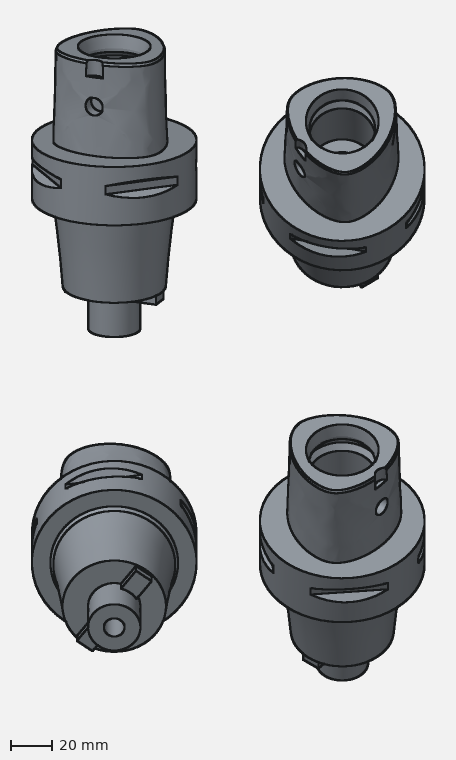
import cadquery as cq
import math

total_height = 145.0
flange_bottom_z = 67.0
flange_height = 30.0
flange_top_z = flange_bottom_z + flange_height

flange_radius = 40.0

neck_top_radius = 31.0
neck_height = 2.2
neck_bottom_z = flange_bottom_z - neck_height
body_top_radius = 29.6
body_bottom_radius = 25.1
body_bottom_z = 22.0
body_hollow = 0.35

spigot_radius = 25.4 / 2
key_width = 9.5
key_span = 48.0
key_height = 5.0

shank_base_radius = 27.7
lobe_count = 3
lobe_height = 2.0
taper_ratio = 1 / 40
shank_chamfer_height = 1.5
shank_chamfer_inset = 0.6
outline_points = 48

notch_radius = 5.2
notch_inner_reach = 22.0
notch_depth = 8.0
side_hole_radius = 4.5
side_hole_z = 122.1
side_hole_floor_y = -18.0

mouth_radius = 17.65
bore_radius = 16.0
mouth_depth = 6.7
lip_depth = 8.35
groove_radius = 18.9
groove_slope = groove_radius - bore_radius
groove_floor_depth = 13.5
bore_depth = total_height - flange_top_z
bolt_hole_radius = 9.0
bolt_hole_depth = bore_depth + flange_height
through_hole_radius = 5.0

gripper_count = 4
gripper_first_angle = 45.0
gripper_flat_distance = 35.3
gripper_flat_height = 4.2
gripper_mouth_height = 9.0
gripper_mid_z = 85.0


def shank_section(radius, z):
    """Closed constant-width outline with three lobes, one of them on +Y."""
    points = []
    for i in range(outline_points):
        normal = 2 * math.pi * i / outline_points
        phase = lobe_count * (normal - math.pi / 2)
        support = radius + lobe_height * math.cos(phase)
        slope = -lobe_count * lobe_height * math.sin(phase)
        points.append((
            support * math.cos(normal) - slope * math.sin(normal),
            support * math.sin(normal) + slope * math.cos(normal),
        ))
    return cq.Workplane("XY", origin=(0, 0, z)).spline(points, periodic=True).wire().val()


def make_shank():
    """Tapered shank with a chamfered end."""
    chamfer_z = total_height - shank_chamfer_height
    chamfer_radius = shank_base_radius - taper_ratio * (chamfer_z - flange_top_z)
    sections = [
        shank_section(shank_base_radius, flange_top_z),
        shank_section(chamfer_radius, chamfer_z),
        shank_section(chamfer_radius - shank_chamfer_inset, total_height),
    ]
    return cq.Workplane(obj=cq.Solid.makeLoft(sections, True))


def make_turned_body():
    """Flange, neck, hollow taper and spigot as one revolved profile."""
    middle_radius = (body_top_radius + body_bottom_radius) / 2 - body_hollow
    middle_z = (neck_bottom_z + body_bottom_z) / 2
    profile = (
        cq.Workplane("XZ")
        .moveTo(0, 0)
        .lineTo(spigot_radius, 0)
        .lineTo(spigot_radius, body_bottom_z)
        .lineTo(body_bottom_radius, body_bottom_z)
        .threePointArc((middle_radius, middle_z), (body_top_radius, neck_bottom_z))
        .lineTo(neck_top_radius, flange_bottom_z)
        .lineTo(flange_radius, flange_bottom_z)
        .lineTo(flange_radius, flange_top_z)
        .lineTo(0, flange_top_z)
        .close()
    )
    return profile.revolve(360, (0, 0), (0, 1))


def make_drive_keys():
    """One bar through the spigot, giving a key on its +X and -X sides."""
    return (
        cq.Workplane("XY", origin=(0, 0, body_bottom_z))
        .rect(key_span, key_width)
        .extrude(-key_height)
    )


def make_bore():
    """Conical mouth, undercut groove, bore, bolt hole and through hole."""
    profile_by_depth = [
        (0, 0),
        (mouth_radius, 0),
        (bore_radius, mouth_depth),
        (bore_radius, lip_depth),
        (groove_radius, lip_depth + groove_slope),
        (groove_radius, groove_floor_depth),
        (bore_radius, groove_floor_depth + groove_slope),
        (bore_radius, bore_depth),
        (bolt_hole_radius, bore_depth),
        (bolt_hole_radius, bolt_hole_depth),
        (through_hole_radius, bolt_hole_depth),
        (through_hole_radius, total_height),
        (0, total_height),
    ]
    points = [(radius, total_height - depth) for radius, depth in profile_by_depth]
    return cq.Workplane("XZ").polyline(points).close().revolve(360, (0, 0), (0, 1))


def make_notch():
    """Round-backed notch in the rim of the shank end."""
    return (
        cq.Workplane("XY", origin=(0, -notch_inner_reach - notch_radius, total_height))
        .circle(notch_radius)
        .extrude(-notch_depth)
    )


def make_side_hole():
    """Blind flat-bottomed hole, open towards -Y."""
    return (
        cq.Workplane("XZ", origin=(0, side_hole_floor_y, side_hole_z))
        .circle(side_hole_radius)
        .extrude(flange_radius + side_hole_floor_y)
    )


def make_gripper_groove(angle):
    """Straight groove with sloping walls, square to the given direction."""
    half_flat = gripper_flat_height / 2
    half_mouth = gripper_mouth_height / 2
    groove = (
        cq.Workplane("XZ", origin=(0, flange_radius, gripper_mid_z))
        .moveTo(gripper_flat_distance, -half_flat)
        .lineTo(flange_radius, -half_mouth)
        .lineTo(flange_radius, half_mouth)
        .lineTo(gripper_flat_distance, half_flat)
        .close()
        .extrude(2 * flange_radius)
    )
    return groove.rotate((0, 0, 0), (0, 0, 1), angle)


result = make_turned_body().union(make_shank()).union(make_drive_keys())
result = result.cut(make_bore()).cut(make_notch()).cut(make_side_hole())
for index in range(gripper_count):
    result = result.cut(make_gripper_groove(gripper_first_angle + index * 360 / gripper_count))